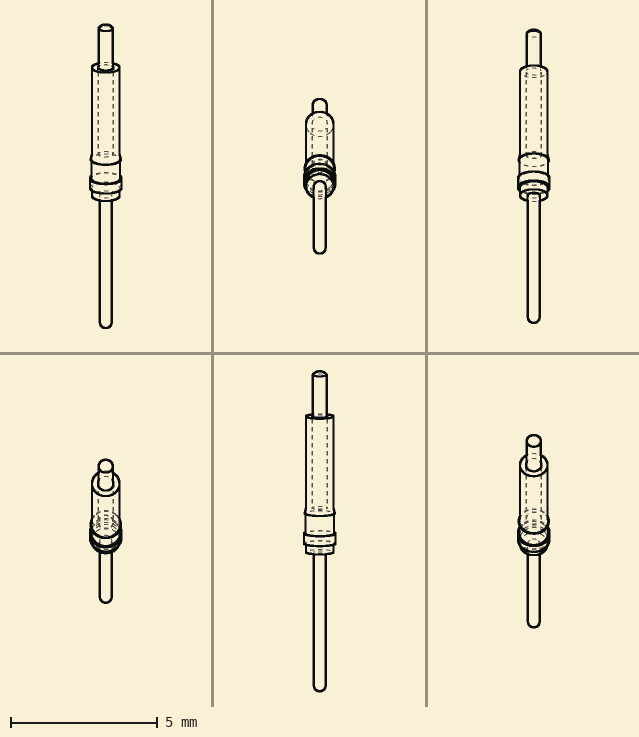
import cadquery as cq

total_length = 11.1

tail_diameter = 0.41
barrel_diameter = 0.94
neck_diameter = 0.99
barb_diameter = 1.03
collar_diameter = 1.09
bore_diameter = 0.53
plunger_diameter = 0.49

barrel_bottom = 4.83
collar_bottom = 5.13
collar_top = 5.47
barb_bottom = 6.17
barb_top = 6.36
barrel_top = 9.53

seat_depth = 3.17
dome_height = 0.13

tail_radius = tail_diameter / 2
barrel_radius = barrel_diameter / 2
neck_radius = neck_diameter / 2
barb_radius = barb_diameter / 2
collar_radius = collar_diameter / 2
bore_radius = bore_diameter / 2
plunger_radius = plunger_diameter / 2
seat_bottom = barrel_top - seat_depth


def revolve_about_z(profile):
    """Turn a closed half profile, drawn as (radius, height), about the Z axis."""
    return profile.close().revolve(360, (0, 0, 0), (0, 1, 0))


def make_shell():
    """Turned shell: round-ended tail, collar, neck, press-fit barb and open barrel."""
    arc_offset = tail_radius * 0.5 ** 0.5
    outline = (
        cq.Workplane("XZ")
        .moveTo(0, 0)
        .threePointArc((arc_offset, tail_radius - arc_offset), (tail_radius, tail_radius))
        .lineTo(tail_radius, barrel_bottom)
        .lineTo(barrel_radius, barrel_bottom)
        .lineTo(barrel_radius, collar_bottom)
        .lineTo(collar_radius, collar_bottom)
        .lineTo(collar_radius, collar_top)
        .lineTo(neck_radius, collar_top)
        .lineTo(neck_radius, barb_bottom)
        .lineTo(barb_radius, barb_bottom)
        .lineTo(barrel_radius, barb_top)
        .lineTo(barrel_radius, barrel_top)
        .lineTo(bore_radius, barrel_top)
        .lineTo(bore_radius, seat_bottom)
        .lineTo(0, seat_bottom)
    )
    return revolve_about_z(outline)


def make_plunger():
    """Round plunger standing on the bore floor with side clearance, with a shallow spherical dome on top."""
    dome_base = total_length - dome_height
    dome_radius = (plunger_radius**2 + dome_height**2) / (2 * dome_height)
    dome_center = total_length - dome_radius
    mid_radius = plunger_radius / 2
    mid_height = dome_center + (dome_radius**2 - mid_radius**2) ** 0.5
    outline = (
        cq.Workplane("XZ")
        .moveTo(0, seat_bottom)
        .lineTo(plunger_radius, seat_bottom)
        .lineTo(plunger_radius, dome_base)
        .threePointArc((mid_radius, mid_height), (0, total_length))
    )
    return revolve_about_z(outline)


shell = make_shell()
plunger = make_plunger()

result = cq.Compound.makeCompound([shell.val(), plunger.val()])